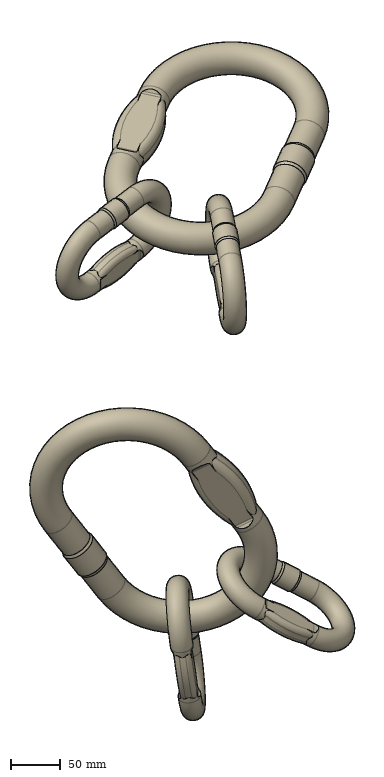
import cadquery as cq
import math

master_bar = 33.0
master_inner_width = 130.0
master_inner_length = 230.0

sub_bar = 23.0
sub_inner_width = 50.0
sub_inner_length = 115.0
sub_splay_angle = 25.0
sub_center_x = 59.23
sub_center_y = -156.05
sub_center_z = 0.3

sleeve_diameter_ratio = 35.48 / 33.0
sleeve_length_ratio = 1.0
sleeve_bevel_ratio = 0.1

grip_half_width_ratio = 0.6976
grip_thickness_ratio = 0.77
grip_side_radius_ratio = 3.29
grip_half_length_ratio = 1.27
grip_edge_fillet_ratio = 0.245

ramp_angle = 45.0
ramp_root_radius_ratio = 0.1


def stadium_bar(bar, leg_x, straight):
    """Round bar bent into a stadium with legs at x = -leg_x and x = +leg_x."""
    half = straight / 2
    path = (
        cq.Workplane("XY")
        .moveTo(leg_x, -half)
        .lineTo(leg_x, half)
        .threePointArc((0, half + leg_x), (-leg_x, half))
        .lineTo(-leg_x, -half)
        .threePointArc((0, -half - leg_x), (leg_x, -half))
        .close()
    )
    start = cq.Workplane("XZ", origin=(leg_x, -half, 0))
    return start.circle(bar / 2).sweep(path)


def weld_sleeve(bar, leg_x):
    """Slightly thicker collar with bevelled ends, centred on the +X leg."""
    half_length = sleeve_length_ratio * bar / 2
    half_land = half_length - sleeve_bevel_ratio * bar
    radius = sleeve_diameter_ratio * bar / 2
    profile = [
        (0, -half_length),
        (bar / 2, -half_length),
        (radius, -half_land),
        (radius, half_land),
        (bar / 2, half_length),
        (0, half_length),
    ]
    collar = cq.Workplane("XY").polyline(profile).close().revolve(360, (0, 0), (0, 1))
    return collar.translate((leg_x, 0, 0))


def grip_block(bar, leg_x):
    """Barrel-sided block with rounded long edges, centred on the -X leg."""
    half_width = grip_half_width_ratio * bar
    half_length = grip_half_length_ratio * bar
    side_radius = grip_side_radius_ratio * bar
    side_sag = side_radius - math.sqrt(side_radius**2 - half_length**2)
    end_half_width = half_width - side_sag
    block = (
        cq.Workplane("XY")
        .moveTo(end_half_width, -half_length)
        .threePointArc((half_width, 0), (end_half_width, half_length))
        .lineTo(-end_half_width, half_length)
        .threePointArc((-half_width, 0), (-end_half_width, -half_length))
        .close()
        .extrude(grip_thickness_ratio * bar / 2, both=True)
        .edges("%CIRCLE")
        .fillet(grip_edge_fillet_ratio * bar)
    )
    return block.translate((-leg_x, 0, 0))


def flat_cutter(bar, leg_x):
    """Trapezoidal prism that mills the upper flat of the grip leg, as long as the grip."""
    floor = grip_thickness_ratio * bar / 2
    half_floor = grip_half_length_ratio * bar
    half_top = half_floor + (bar - floor) / math.tan(math.radians(ramp_angle))
    profile = [
        (-half_floor, floor),
        (half_floor, floor),
        (half_top, bar),
        (-half_top, bar),
    ]
    cutter = (
        cq.Workplane("YZ")
        .polyline(profile)
        .close()
        .extrude(bar, both=True)
        .faces("<Z")
        .edges("|X")
        .fillet(ramp_root_radius_ratio * bar)
    )
    return cutter.translate((-leg_x, 0, 0))


def chain_link(bar, inner_width, inner_length):
    """Complete link in the XY plane: sleeve on the +X leg, grip on the -X leg."""
    leg_x = (inner_width + bar) / 2
    straight = inner_length - inner_width
    upper_flat = flat_cutter(bar, leg_x)
    lower_flat = upper_flat.mirror("XY")
    return (
        stadium_bar(bar, leg_x, straight)
        .cut(upper_flat)
        .cut(lower_flat)
        .union(grip_block(bar, leg_x))
        .union(weld_sleeve(bar, leg_x))
    )


def hung_sub_link(side):
    """Sub-link stood on edge, sleeve up and grip down, leaning out to one side in X."""
    link = chain_link(sub_bar, sub_inner_width, sub_inner_length)
    upright = link.rotate((0, 0, 0), (0, 1, 0), -90)
    splayed = upright.rotate((0, 0, 0), (0, 0, 1), side * sub_splay_angle)
    return splayed.translate((side * sub_center_x, sub_center_y, sub_center_z))


master_link = chain_link(master_bar, master_inner_width, master_inner_length)
sub_links = [hung_sub_link(side) for side in (-1, 1)]

result = cq.Compound.makeCompound(
    [master_link.solids().val(), *[link.solids().val() for link in sub_links]]
)